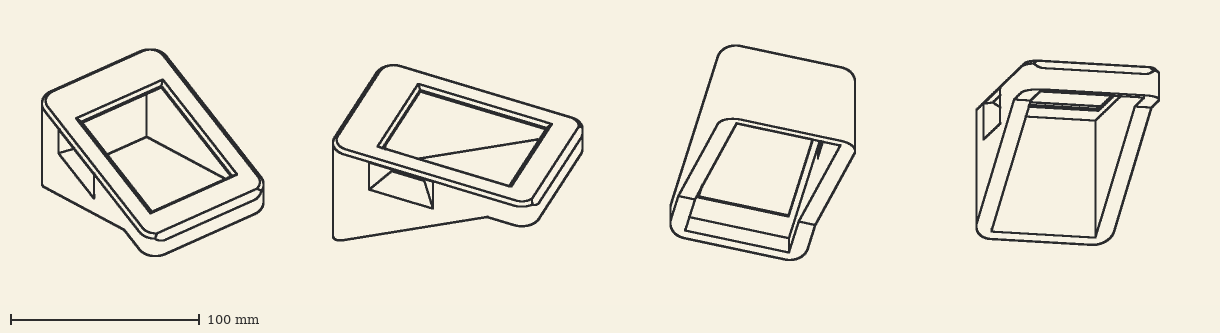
import cadquery as cq
import math

length = 118.5
width = 75.0
height = 69.8
corner_radius = 10.0
rim_chamfer = 2.0

side_wall = 9.1
end_wall = 5.0
top_thickness = 3.1

slope_angle = 30.0
lip_depth = 16.2
knee_x = (height - lip_depth) / math.tan(math.radians(slope_angle))

end_bevel_drop = 4.6
end_bevel_run = end_bevel_drop * math.tan(math.radians(slope_angle))

window_length = 77.4
window_width = 53.3
window_center_x = 63.3
window_bevel = 2.0

recess_center_x = 43.0
recess_inner_length = 18.7
recess_inner_top = -7.3
recess_inner_bottom = -12.8
recess_ceiling = -2.4


def side_profile():
    """Outline of the body in the XZ plane."""
    return [
        (0, 0),
        (length - end_bevel_run, 0),
        (length, -end_bevel_drop),
        (length, -lip_depth),
        (knee_x, -lip_depth),
        (0, -height),
    ]


def make_body():
    """Wedge with rounded upright corners and a top rim chamfered everywhere but at the +X end."""
    wedge = cq.Workplane("XZ").polyline(side_profile()).close().extrude(width / 2, both=True)
    body = wedge.edges("|Z").fillet(corner_radius)
    rim_without_end_edge = body.faces(">Z").edges().edges("not(>X and |Y)")
    return rim_without_end_edge.chamfer(rim_chamfer)


def make_cavity():
    """Straight-sided hollow that is open at the bottom."""
    cavity_height = height - top_thickness
    return (
        cq.Workplane("XY", origin=(length / 2, 0, -height))
        .rect(length - 2 * end_wall, width - 2 * side_wall)
        .extrude(cavity_height)
    )


def make_window():
    """Rectangular opening with a 45 degree bevel around its upper edge."""
    center = (window_center_x, 0, 0)
    inner_length = window_length - 2 * window_bevel
    inner_width = window_width - 2 * window_bevel
    opening = cq.Workplane("XY", origin=center).rect(inner_length, inner_width).extrude(-top_thickness)
    bevel = (
        cq.Workplane("XY", origin=center)
        .rect(window_length, window_width)
        .workplane(offset=-window_bevel)
        .rect(inner_length, inner_width)
        .loft()
    )
    return opening.union(bevel)


def make_recess():
    """Frustum that widens outward at 45 degrees, cut off flat at its ceiling."""
    inner_height = recess_inner_top - recess_inner_bottom
    inner_z = (recess_inner_top + recess_inner_bottom) / 2
    frustum = (
        cq.Workplane("XZ", origin=(recess_center_x, side_wall - width / 2, inner_z))
        .rect(recess_inner_length, inner_height)
        .workplane(offset=side_wall)
        .rect(recess_inner_length + 2 * side_wall, inner_height + 2 * side_wall)
        .loft()
    )
    below_ceiling = (
        cq.Workplane("XY", origin=(length / 2, 0, recess_ceiling)).rect(length, width).extrude(-height)
    )
    return frustum.intersect(below_ceiling)


result = make_body().cut(make_cavity()).cut(make_window()).cut(make_recess())